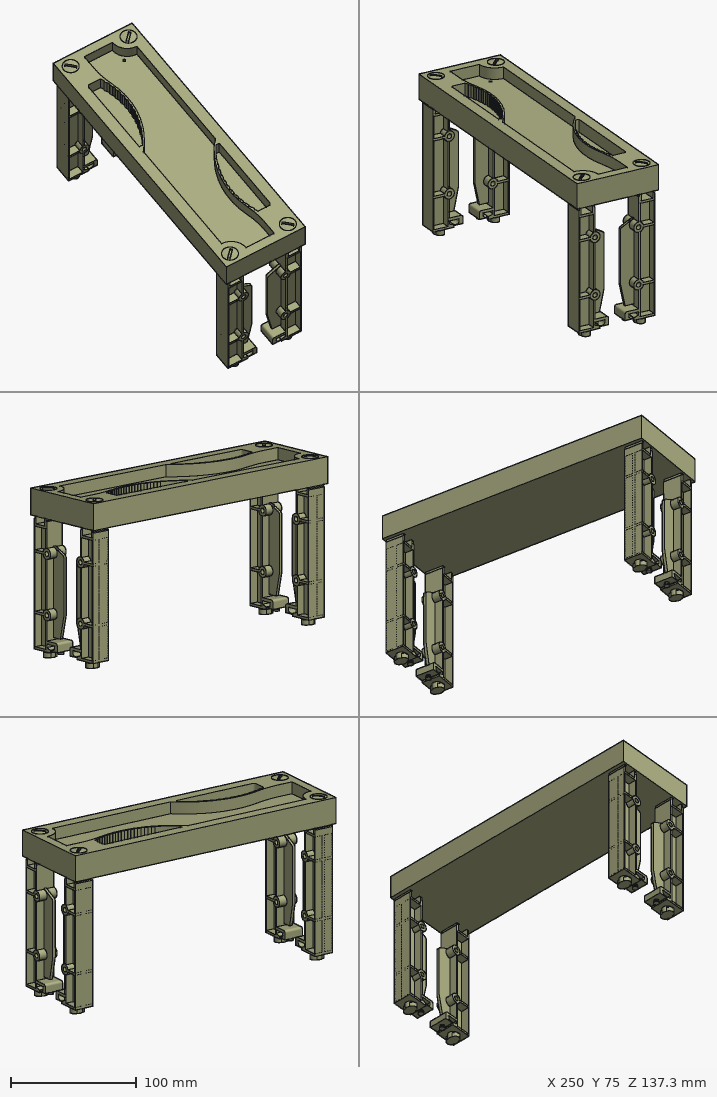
import cadquery as cq
import math


tray_length = 250.0
tray_width = 75.0
tray_height = 22.0
pocket_depth = 10.0
pocket_half_length = 117.0
pocket_half_width = 27.5
pocket_waist = 13.2
corner_notch_radius = 14.0
bulge_radius = 76.2
bulge_x = 61.8
bulge_crest_y = 7.5
locating_hole_diameter = 2.2
locating_hole_depth = 2.5
locating_hole_x = 103.2
locating_hole_y = 15.8

recess_depth = 11.0
recess_wall = 1.5
recess_outer_x = 91.0
recess_inner_x = 16.0
recess_corner_radius = 2.0
rib_count = 10
rib_height = 0.5
rib_angle = 2.25
rib_end_angle = 22.5

screw_x = 115.0
screw_y = 27.5
head_diameter = 13.5
head_depth = 4.0
crown_rise = 0.5
dome_height = 0.8
shank_diameter = 2.0
shank_protrusion = 0.5
slot_length = 9.5
slot_width = 2.0
slot_depth = 2.0
slot_angle = 45.0

leg_thickness = 16.8
leg_bottom = -109.0
outer_face_y = 35.0
inner_face_y = 20.0
outer_flange = 1.0
inner_flange = 1.5
web_thickness = 2.5
cross_rib = 2.0
neck_height = 2.0
neck_step = 0.8
window_outer_y = 33.0
window_inner_y = 22.5
window_bottom = -6.8
window_fillet = 1.0

upper_eye_z = -29.0
eye_spacing = 50.0
eye_diameter = 9.0
eye_hole_diameter = 4.0

fin_top = -23.8
fin_shoulder_z = -30.0
fin_taper_z = -78.5
fin_bottom = -98.2
fin_edge_y = 7.5
fin_foot_y = 11.8
fin_shoulder_fillet = 2.5

foot_top = -100.0
foot_underside = -107.5
foot_step_y = 15.8
foot_fillet = 2.0
foot_slot_end_y = 11.0
foot_slot_top = -102.5
foot_slot_floor = -105.2
foot_slot_low = -106.8
foot_slot_fillet = 2.5

stud_y = 12.5
stud_diameter = 3.8
stud_head_diameter = 4.8
stud_head_top = -109.0
stud_bottom = -110.5

lug_y = 25.2
lug_neck_diameter = 9.0
lug_length = 12.2
lug_width = 7.5
lug_top = -110.5
lug_bottom = -114.8


def screw_positions():
    return [(sx * screw_x, sy * screw_y) for sx in (-1, 1) for sy in (-1, 1)]


def turn_point(point, side):
    """The point itself, or its half turn about the origin when side is -1."""
    return side * point[0], side * point[1]


def half_turn(body):
    return body.rotate((0, 0, 0), (0, 0, 1), 180)


def pocket_half_points():
    """Points of the wall that runs from the left narrow end over the front bulge.

    A concave arc blends the straight wall of the narrow end into the bulge. Returns the start,
    middle and end of the blend, then the crest and the far end of the bulge.
    """
    centre_y = -bulge_crest_y - bulge_radius
    blend_centre_y = -pocket_waist + bulge_radius
    blend_run = math.sqrt((2 * bulge_radius) ** 2 - (blend_centre_y - centre_y) ** 2)
    blend_start_x = -bulge_x - blend_run
    blend_end = (-bulge_x - blend_run / 2, (blend_centre_y + centre_y) / 2)
    half_angle = math.asin(blend_run / 2 / bulge_radius) / 2
    blend_middle = (
        blend_start_x + bulge_radius * math.sin(half_angle),
        blend_centre_y - bulge_radius * math.cos(half_angle),
    )
    drop = -pocket_half_width - centre_y
    bulge_end = (-bulge_x + math.sqrt(bulge_radius**2 - drop**2), -pocket_half_width)
    return (blend_start_x, -pocket_waist), blend_middle, blend_end, (-bulge_x, -bulge_crest_y), bulge_end


def make_pocket():
    """Two-lobed pocket, symmetric under a half turn, with a notch at two corners."""
    blend_start, blend_middle, blend_end, crest, bulge_end = pocket_half_points()
    notch_reach = corner_notch_radius * math.sqrt(0.5)
    half_outline_start = (-pocket_half_length, -pocket_waist)
    notch_start = (pocket_half_length - corner_notch_radius, -pocket_half_width)
    notch_middle = (pocket_half_length - notch_reach, -pocket_half_width + notch_reach)
    notch_end = (pocket_half_length, -pocket_half_width + corner_notch_radius)

    outline = cq.Workplane("XY").workplane(offset=tray_height - pocket_depth)
    outline = outline.moveTo(*turn_point(notch_end, -1))
    for side in (1, -1):
        outline = outline.lineTo(*turn_point(half_outline_start, side))
        outline = outline.lineTo(*turn_point(blend_start, side))
        outline = outline.threePointArc(turn_point(blend_middle, side), turn_point(blend_end, side))
        outline = outline.threePointArc(turn_point(crest, side), turn_point(bulge_end, side))
        outline = outline.lineTo(*turn_point(notch_start, side))
        outline = outline.threePointArc(turn_point(notch_middle, side), turn_point(notch_end, side))
    return outline.close().extrude(pocket_depth)


def make_finger_recess():
    """Recess under the front bulge, its curved wall set with upright grip ribs."""
    centre_y = -bulge_crest_y - bulge_radius
    wall_radius = bulge_radius - recess_wall
    floor = cq.Workplane("XY").workplane(offset=tray_height - recess_depth)
    length = recess_outer_x - recess_inner_x
    middle_x = -(recess_outer_x + recess_inner_x) / 2
    recess = floor.center(middle_x, 0).rect(length, 2 * pocket_half_width).extrude(recess_depth)
    recess = recess.intersect(floor.center(-bulge_x, centre_y).circle(wall_radius).extrude(recess_depth))
    recess = recess.edges("|Z and <X and <Y").fillet(recess_corner_radius)

    inner_radius = wall_radius - rib_height
    outer_radius = wall_radius + rib_height
    for index in range(rib_count):
        end = math.radians(rib_end_angle - 2 * rib_angle * index)
        start = end - math.radians(rib_angle)
        corners = [
            (-bulge_x + radius * math.sin(angle), centre_y + radius * math.cos(angle))
            for radius, angle in (
                (inner_radius, start),
                (inner_radius, end),
                (outer_radius, end),
                (outer_radius, start),
            )
        ]
        recess = recess.cut(floor.polyline(corners).close().extrude(recess_depth))
    return recess


def make_tray():
    tray = cq.Workplane("XY").box(tray_length, tray_width, tray_height, centered=(True, True, False))
    tray = tray.cut(make_pocket())
    recess = make_finger_recess()
    tray = tray.cut(recess).cut(half_turn(recess))
    locating_holes = (
        cq.Workplane("XY")
        .workplane(offset=tray_height - pocket_depth)
        .pushPoints([(-locating_hole_x, locating_hole_y), (locating_hole_x, -locating_hole_y)])
        .circle(locating_hole_diameter / 2)
        .extrude(-locating_hole_depth)
    )
    screw_holes = cq.Workplane("XY").pushPoints(screw_positions())
    shank_holes = screw_holes.circle(shank_diameter / 2).extrude(tray_height)
    head_seats = (
        cq.Workplane("XY")
        .workplane(offset=tray_height)
        .pushPoints(screw_positions())
        .circle(head_diameter / 2)
        .extrude(-head_depth)
    )
    return tray.cut(locating_holes).cut(shank_holes).cut(head_seats)


def make_screw(x, y):
    """Domed screw whose slot points along a 45 degree diagonal of the tray."""
    head_bottom = tray_height - head_depth
    crown_z = tray_height + crown_rise
    rim_z = crown_z - dome_height
    head_radius = head_diameter / 2
    shank_radius = shank_diameter / 2
    half_radius = head_radius / 2
    sphere_radius = (head_radius**2 + dome_height**2) / (2 * dome_height)
    sphere_z = crown_z - sphere_radius
    half_dome_z = sphere_z + math.sqrt(sphere_radius**2 - half_radius**2)
    screw = (
        cq.Workplane("XZ")
        .moveTo(0, -shank_protrusion)
        .lineTo(shank_radius, -shank_protrusion)
        .lineTo(shank_radius, head_bottom)
        .lineTo(head_radius, head_bottom)
        .lineTo(head_radius, rim_z)
        .threePointArc((half_radius, half_dome_z), (0, crown_z))
        .close()
        .revolve(360, (0, 0), (0, 1))
    )
    slot = (
        cq.Workplane("XY")
        .workplane(offset=crown_z)
        .rect(slot_length, slot_width)
        .extrude(-slot_depth)
        .rotate((0, 0, 0), (0, 0, 1), math.copysign(slot_angle, x * y))
    )
    return screw.cut(slot).translate((x, y, 0))


def leg_section(thickness, points):
    """Prism across the leg with the given (Y, Z) corners."""
    return cq.Workplane("YZ").polyline(points).close().extrude(thickness / 2, both=True)


def leg_block(thickness, y_start, y_end, z_start, z_end):
    corners = [(y_start, z_start), (y_end, z_start), (y_end, z_end), (y_start, z_end)]
    return leg_section(thickness, corners)


def make_post():
    """Flanged post with a narrowed neck, cross ribs and a window at the top."""
    shoulder_z = -neck_height - neck_step
    post = leg_section(
        leg_thickness,
        [
            (inner_face_y, leg_bottom),
            (outer_face_y, leg_bottom),
            (outer_face_y, shoulder_z),
            (outer_face_y - neck_step, -neck_height),
            (outer_face_y - neck_step, 0),
            (inner_face_y + neck_step, 0),
            (inner_face_y + neck_step, -neck_height),
            (inner_face_y, shoulder_z),
        ],
    )
    lower_eye_z = upper_eye_z - eye_spacing
    panels = [
        (window_bottom - cross_rib, upper_eye_z + cross_rib / 2),
        (upper_eye_z - cross_rib / 2, lower_eye_z + cross_rib / 2),
        (lower_eye_z - cross_rib / 2, leg_bottom + cross_rib),
    ]
    panel_inner_y = inner_face_y + inner_flange
    panel_outer_y = outer_face_y - outer_flange
    for top, bottom in panels:
        post = post.cut(leg_block(leg_thickness, panel_inner_y, panel_outer_y, bottom, top))
    web_bottom = leg_bottom + cross_rib
    web_top = window_bottom - cross_rib
    web = leg_block(web_thickness, panel_inner_y, panel_outer_y, web_bottom, web_top)
    window = leg_block(leg_thickness, window_inner_y, window_outer_y, window_bottom, 0)
    window = window.edges("|X and >Z").fillet(window_fillet)
    return post.union(web).cut(window)


def make_fin():
    fin = leg_section(
        web_thickness,
        [
            (inner_face_y, fin_top),
            (fin_edge_y, fin_shoulder_z),
            (fin_edge_y, fin_taper_z),
            (fin_foot_y, fin_bottom),
            (inner_face_y, fin_bottom),
        ],
    )
    shoulder = cq.selectors.NearestToPointSelector((0, fin_edge_y, fin_shoulder_z))
    return fin.edges(shoulder).fillet(fin_shoulder_fillet)


def make_foot():
    """Hollow foot with a sloping slot floor and a stepped underside."""
    foot = leg_section(
        leg_thickness,
        [
            (inner_face_y, foot_top),
            (fin_edge_y, foot_top),
            (fin_edge_y, foot_underside),
            (foot_step_y, foot_underside),
            (foot_step_y, leg_bottom),
            (inner_face_y, leg_bottom),
        ],
    )
    foot = foot.edges("|X and >Z and <Y").fillet(foot_fillet)
    slot = leg_section(
        leg_thickness,
        [
            (inner_face_y, foot_slot_top),
            (foot_slot_end_y, foot_slot_top),
            (foot_slot_end_y, foot_slot_low),
            (foot_step_y, foot_slot_low),
            (inner_face_y, foot_slot_floor),
        ],
    )
    slot = slot.edges("|X and <Y and <Z").fillet(foot_slot_fillet)
    return foot.cut(slot)


def disc(y, diameter, z_start, z_end):
    base = cq.Workplane("XY").workplane(offset=z_start).center(0, y)
    return base.circle(diameter / 2).extrude(z_end - z_start)


def make_stud():
    shank = disc(stud_y, stud_diameter, stud_head_top, foot_underside)
    return shank.union(disc(stud_y, stud_head_diameter, stud_bottom, stud_head_top))


def make_lug():
    neck = disc(lug_y, lug_neck_diameter, lug_bottom, leg_bottom)
    wings = (
        cq.Workplane("XY")
        .workplane(offset=lug_bottom)
        .center(0, lug_y)
        .slot2D(lug_length, lug_width)
        .extrude(lug_top - lug_bottom)
    )
    return neck.union(wings)


def make_leg(x, side):
    """One leg hung at X = x, mirrored to the -Y side when side is -1."""
    leg = make_post().union(make_fin()).union(make_foot()).union(make_stud()).union(make_lug())
    eye_points = [(inner_face_y, upper_eye_z), (inner_face_y, upper_eye_z - eye_spacing)]
    eyes = cq.Workplane("YZ").pushPoints(eye_points)
    leg = leg.union(eyes.circle(eye_diameter / 2).extrude(leg_thickness / 2, both=True))
    leg = leg.cut(eyes.circle(eye_hole_diameter / 2).extrude(leg_thickness / 2, both=True))
    if side < 0:
        leg = leg.mirror("XZ")
    return leg.translate((x, 0, 0))


tray = make_tray()
screws = [make_screw(x, y) for x, y in screw_positions()]
legs = [make_leg(sx * screw_x, sy) for sx in (-1, 1) for sy in (-1, 1)]

result = cq.Compound.makeCompound([tray.val(), *[screw.val() for screw in screws], *[leg.val() for leg in legs]])